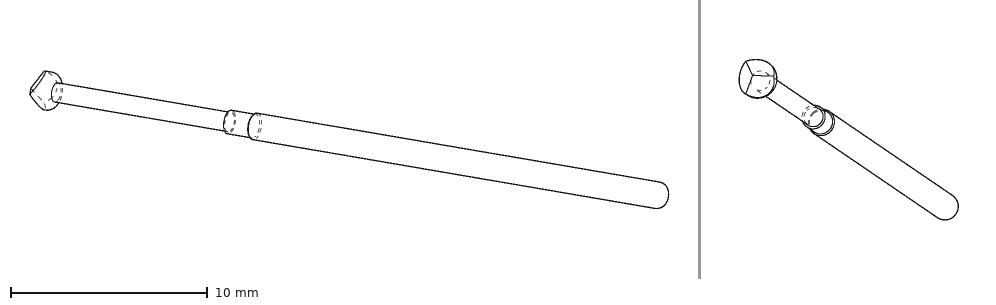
import cadquery as cq
import math

total_length = 37.1
head_diameter = 1.95
head_length = 1.5
head_back_fillet = 0.45
tip_face_count = 3
tip_face_angle = 45.0

plunger_diameter = 1.0
collar_start = 11.6
collar_diameter = 1.22
barrel_start = 13.02
barrel_diameter = 1.37
barrel_front_chamfer = (barrel_diameter - collar_diameter) / 2
tail_fillet = 0.5


def rod(start, end, diameter):
    """Round rod centred on the X axis."""
    return cq.Workplane("YZ", origin=(start, 0, 0)).circle(diameter / 2).extrude(end - start)


def tip_cutter(turn):
    """Wedge that leaves one sloping tip face, facing +Y before it is turned about X."""
    reach = head_diameter
    face_depth = reach / math.tan(math.radians(tip_face_angle))
    return (
        cq.Workplane("XY", origin=(0, 0, -reach))
        .polyline([(0, 0), (reach, face_depth), (-reach, face_depth), (-reach, -face_depth)])
        .close()
        .extrude(2 * reach)
        .rotate((0, 0, 0), (1, 0, 0), turn)
    )


head = rod(0, head_length, head_diameter).faces(">X").edges().fillet(head_back_fillet)
for index in range(tip_face_count):
    head = head.cut(tip_cutter(index * 360 / tip_face_count))

plunger = rod(head_length, collar_start, plunger_diameter)
collar = rod(collar_start, barrel_start, collar_diameter)
barrel = rod(barrel_start, total_length, barrel_diameter)
barrel = barrel.faces(">X").edges().fillet(tail_fillet)
barrel = barrel.faces("<X").edges().chamfer(barrel_front_chamfer)

result = head.union(plunger).union(collar).union(barrel)